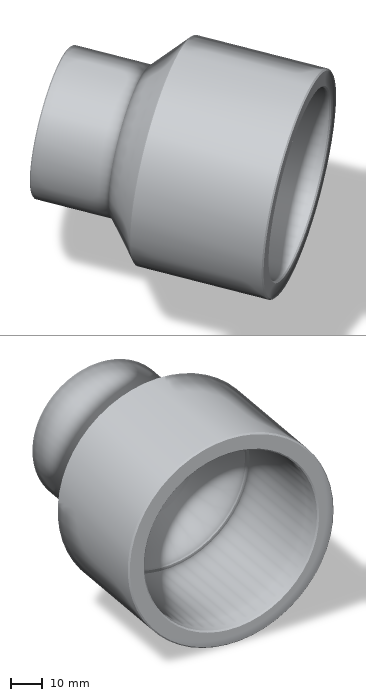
import cadquery as cq

length = 81.2
large_diameter = 75.0
small_diameter = 50.0
small_length = 26.1
cone_length = 11.0
edge_chamfer = 0.5
shoulder_chamfer = 0.3

small_socket_diameter = 40.0
small_socket_depth = 26.0
small_socket_chamfer = 0.5
throat_diameter = 38.0
large_socket_diameter = 63.0
inner_cone_diameter = 61.0
throat_length = 1.0
large_stop_length = 1.0
large_socket_chamfer = 0.5

small_face = -length / 2
large_face = length / 2
cone_start = small_face + small_length
cone_end = cone_start + cone_length
small_socket_end = small_face + small_socket_depth
throat_end = small_socket_end + throat_length
inner_cone_end = throat_end + cone_length
large_socket_start = inner_cone_end + large_stop_length


def revolve_about_x(points):
    """Revolve a closed (x, radius) outline a full turn about the X axis."""
    return cq.Workplane("XY").polyline(points).close().revolve(360, (0, 0, 0), (1, 0, 0))


def outer_body():
    small_radius = small_diameter / 2
    large_radius = large_diameter / 2
    return revolve_about_x([
        (small_face, 0),
        (small_face, small_radius - edge_chamfer),
        (small_face + edge_chamfer, small_radius),
        (cone_start, small_radius),
        (cone_end, large_radius - shoulder_chamfer),
        (cone_end + shoulder_chamfer, large_radius),
        (large_face - edge_chamfer, large_radius),
        (large_face, large_radius - edge_chamfer),
        (large_face, 0),
    ])


def stepped_bore():
    """Two sockets joined by a narrower throat and a cone that widens to the large pipe stop."""
    small_radius = small_socket_diameter / 2
    inner_cone_radius = inner_cone_diameter / 2
    throat_radius = throat_diameter / 2
    large_radius = large_socket_diameter / 2
    return revolve_about_x([
        (small_face, 0),
        (small_face, small_radius + small_socket_chamfer),
        (small_face + small_socket_chamfer, small_radius),
        (small_socket_end, small_radius),
        (small_socket_end, throat_radius),
        (throat_end, throat_radius),
        (inner_cone_end, inner_cone_radius),
        (large_socket_start, inner_cone_radius),
        (large_socket_start, large_radius),
        (large_face - large_socket_chamfer, large_radius),
        (large_face, large_radius + large_socket_chamfer),
        (large_face, 0),
    ])


result = outer_body().cut(stepped_bore())